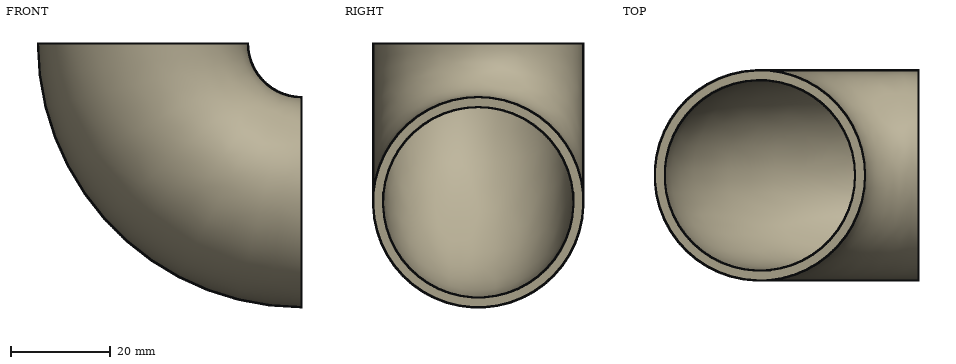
import cadquery as cq

overall_size = 53.2
outer_diameter = 42.4
wall_thickness = 2.0
bend_angle = 90.0

outer_radius = outer_diameter / 2
inner_radius = outer_radius - wall_thickness
bend_radius = overall_size - outer_radius

result = (
    cq.Workplane("XY")
    .circle(outer_radius)
    .circle(inner_radius)
    .revolve(bend_angle, (bend_radius, 0.55, 0), (bend_radius, 0, 0))
)